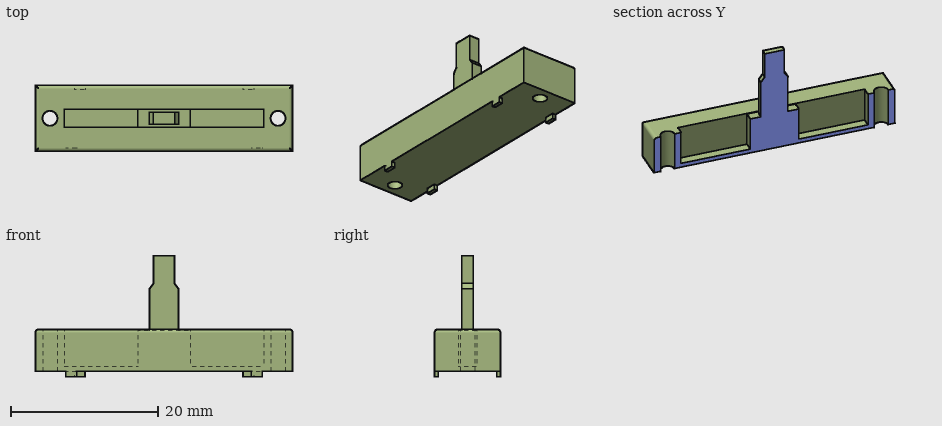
import cadquery as cq

total_height = 16.5
body_length = 35.0
body_width = 9.0
body_height = 5.7
edge_radius = 0.5

hole_diameter = 2.0
hole_spacing = 31.0

slot_length = 27.1
slot_width = 2.5
slot_depth = 5.0
carriage_length = 7.07
carriage_recess = 0.1
carriage_top = body_height - carriage_recess

lever_height = 10.0
lever_width = 4.0
lever_thickness = 1.6
tip_width = 2.87
tip_height = 3.78
shoulder_height = 0.75

foot_height = total_height - body_height - lever_height
foot_length = 1.5
foot_thickness = 0.52
front_foot_x = 12.65
back_foot_x = 11.48


def make_housing():
    """Block with rounded top edges, two through holes and a blind slot."""
    housing = cq.Workplane("XY").box(body_length, body_width, body_height, centered=(True, True, False))
    housing = housing.faces(">Z").edges().fillet(edge_radius)
    housing = (
        housing.faces(">Z").workplane(origin=(0, 0, body_height))
        .pushPoints([(-hole_spacing / 2, 0), (hole_spacing / 2, 0)])
        .hole(hole_diameter)
    )
    slot = (
        cq.Workplane("XY").workplane(offset=body_height - slot_depth)
        .rect(slot_length, slot_width)
        .extrude(slot_depth)
    )
    return housing.cut(slot)


def make_carriage():
    """Block that fills the middle of the slot, just below the top face."""
    return (
        cq.Workplane("XY").workplane(offset=body_height - slot_depth)
        .rect(carriage_length, slot_width)
        .extrude(slot_depth - carriage_recess)
    )


def make_lever():
    """Flat upright lever that narrows to its tip over sloping shoulders."""
    lever_top = body_height + lever_height
    shoulder_top = lever_top - tip_height
    shoulder_bottom = shoulder_top - shoulder_height
    right_side = [
        (lever_width / 2, carriage_top),
        (lever_width / 2, shoulder_bottom),
        (tip_width / 2, shoulder_top),
        (tip_width / 2, lever_top),
    ]
    left_side = [(-x, z) for x, z in reversed(right_side)]
    return (
        cq.Workplane("XZ").polyline(right_side + left_side).close()
        .extrude(lever_thickness / 2, both=True)
    )


def make_feet():
    """Four feet flush with the long sides; the back pair stands closer together."""
    foot_y = (body_width - foot_thickness) / 2
    centres = []
    for side in (-1, 1):
        centres.append((side * front_foot_x, -foot_y))
        centres.append((side * back_foot_x, foot_y))
    return cq.Workplane("XY").pushPoints(centres).rect(foot_length, foot_thickness).extrude(-foot_height)


result = make_housing().union(make_carriage()).union(make_lever()).union(make_feet())